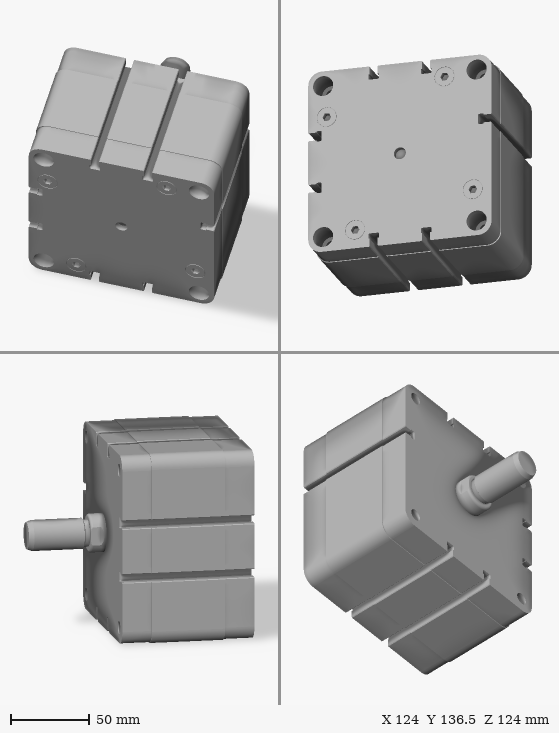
import cadquery as cq
import math

BARREL_SIDE = 124.0
CAP_SIDE = 123.0
CORNER_RADIUS = 9.0
BODY_LENGTH = 86.5
CAP_LENGTH = 19.25
BARREL_LENGTH = BODY_LENGTH - 2 * CAP_LENGTH

SLOT_OFFSET = 17.6
SLOT_NECK_WIDTH = 5.3
SLOT_HEAD_WIDTH = 7.0
SLOT_FLOOR = 52.5
SLOT_LIP = 56.0
SLOT_MOUTH_CHAMFER = 0.5
SLOT_FLOOR_CHAMFER = 0.5

MOUNT_HOLE_OFFSET = 51.5
MOUNT_HOLE_DIAMETER = 8.38
MOUNT_BORE_DIAMETER = 13.5
MOUNT_BORE_DEPTH = CAP_LENGTH

SCREW_OFFSET_LONG = 49.0
SCREW_OFFSET_SHORT = 30.0
SCREW_POCKET_DIAMETER = 13.5
SCREW_HEAD_DIAMETER = 12.5
SCREW_GAP_DEPTH = 0.4
HEX_ACROSS_FLATS = 5.0
HEX_DEPTH = 4.0

CENTRE_HOLE_DIAMETER = 8.0
CENTRE_HOLE_DEPTH = 4.0

ROD_LENGTH = 50.0
COLLAR_DIAMETER = 25.0
COLLAR_LENGTH = 10.0
COLLAR_FILLET = 1.75
UNDERCUT_DIAMETER = 17.5
UNDERCUT_LENGTH = 3.0
UNDERCUT_TAPER_LENGTH = 0.7
THREAD_DIAMETER = 20.0
TIP_DIAMETER = 17.5
TIP_LENGTH = 3.3
FLATS_WIDTH = 22.0
FLATS_LENGTH = 6.7
FLATS_RUNOUT_LENGTH = 1.8


def front_plane(y):
    """Plane facing -Y at the given Y, with local x along X and local y along Z."""
    return cq.Workplane("XZ", origin=(0, y, 0))


def body_section(side, start, length):
    """Rounded square block running along +Y."""
    block = front_plane(start).rect(side, side).extrude(-length)
    return block.edges("|Y").fillet(CORNER_RADIUS)


def slot_cutter(side, start, length):
    """T-slot opening through the +Z side of a block, centred on X = 0."""
    neck = SLOT_NECK_WIDTH / 2
    head = SLOT_HEAD_WIDTH / 2
    mouth = side / 2
    right_half = [
        (head - SLOT_FLOOR_CHAMFER, SLOT_FLOOR),
        (head, SLOT_FLOOR + SLOT_FLOOR_CHAMFER),
        (head, SLOT_LIP),
        (neck, SLOT_LIP),
        (neck, mouth - SLOT_MOUTH_CHAMFER),
        (neck + SLOT_MOUTH_CHAMFER, mouth),
    ]
    left_half = [(-x, z) for x, z in reversed(right_half)]
    return front_plane(start).polyline(right_half + left_half).close().extrude(-length)


def slotted_section(side, start, length):
    """Block with two T-slots on every side but +X, which has only the upper one."""
    section = body_section(side, start, length)
    cutter = slot_cutter(side, start, length)
    lower_right = (90, SLOT_OFFSET)
    for turn in (0, 90, 180, 270):
        for offset in (-SLOT_OFFSET, SLOT_OFFSET):
            if (turn, offset) == lower_right:
                continue
            placed = cutter.translate((offset, 0, 0)).rotate((0, 0, 0), (0, 1, 0), turn)
            section = section.cut(placed)
    return section


def make_body():
    """Barrel between the blind cap and the rod cap."""
    blind_cap = slotted_section(CAP_SIDE, 0, CAP_LENGTH)
    barrel = slotted_section(BARREL_SIDE, CAP_LENGTH, BARREL_LENGTH)
    rod_cap = slotted_section(CAP_SIDE, CAP_LENGTH + BARREL_LENGTH, CAP_LENGTH)
    return blind_cap.union(barrel).union(rod_cap)


def cut_mount_holes(body):
    """Through hole with a counterbore from the blind cap in each corner."""
    spacing = 2 * MOUNT_HOLE_OFFSET
    holes = front_plane(0).rect(spacing, spacing, forConstruction=True).vertices()
    through = holes.circle(MOUNT_HOLE_DIAMETER / 2).extrude(-BODY_LENGTH)
    bores = holes.circle(MOUNT_BORE_DIAMETER / 2).extrude(-MOUNT_BORE_DEPTH)
    return body.cut(through).cut(bores)


def add_cap_screws(body):
    """Each screw leaves a thin ring gap round its head and a hexagon socket."""
    positions = [
        (SCREW_OFFSET_SHORT, SCREW_OFFSET_LONG),
        (-SCREW_OFFSET_LONG, SCREW_OFFSET_SHORT),
        (-SCREW_OFFSET_SHORT, -SCREW_OFFSET_LONG),
        (SCREW_OFFSET_LONG, -SCREW_OFFSET_SHORT),
    ]
    hex_across_corners = HEX_ACROSS_FLATS / math.cos(math.radians(30))
    face = front_plane(0).pushPoints(positions)
    pockets = face.circle(SCREW_POCKET_DIAMETER / 2).extrude(-SCREW_GAP_DEPTH)
    heads = face.circle(SCREW_HEAD_DIAMETER / 2).extrude(-SCREW_GAP_DEPTH)
    sockets = face.polygon(6, hex_across_corners).extrude(-HEX_DEPTH)
    return body.cut(pockets.cut(heads)).cut(sockets)


def cut_centre_hole(body):
    """Flat-bottomed hole on the axis of the blind cap."""
    hole = front_plane(0).circle(CENTRE_HOLE_DIAMETER / 2).extrude(-CENTRE_HOLE_DEPTH)
    return body.cut(hole)


def make_rod():
    """Turned rod with a threaded end and two wrench flats facing -X and +X."""
    base = BODY_LENGTH
    collar_end = base + COLLAR_LENGTH
    thread_start = collar_end + UNDERCUT_LENGTH
    tip = base + ROD_LENGTH
    collar_radius = COLLAR_DIAMETER / 2
    fillet_start = collar_end - COLLAR_FILLET
    fillet_end_radius = collar_radius - COLLAR_FILLET
    fillet_reach = COLLAR_FILLET * math.sin(math.radians(45))
    fillet_middle = (fillet_end_radius + fillet_reach, fillet_start + fillet_reach)
    profile = (
        cq.Workplane("XY")
        .moveTo(0, base)
        .lineTo(collar_radius, base)
        .lineTo(collar_radius, fillet_start)
        .threePointArc(fillet_middle, (fillet_end_radius, collar_end))
        .lineTo(UNDERCUT_DIAMETER / 2, collar_end)
        .lineTo(UNDERCUT_DIAMETER / 2, thread_start)
        .lineTo(THREAD_DIAMETER / 2, thread_start + UNDERCUT_TAPER_LENGTH)
        .lineTo(THREAD_DIAMETER / 2, tip - TIP_LENGTH)
        .lineTo(TIP_DIAMETER / 2, tip)
        .lineTo(0, tip)
        .close()
    )
    rod = profile.revolve(360, (0, 0, 0), (0, 1, 0))

    flat = FLATS_WIDTH / 2
    flat_start = collar_end - FLATS_LENGTH
    flat_profile = [
        (flat, collar_end),
        (flat, flat_start),
        (collar_radius, flat_start - FLATS_RUNOUT_LENGTH),
        (collar_radius, collar_end),
    ]
    cutter = cq.Workplane("XY").polyline(flat_profile).close().extrude(collar_radius, both=True)
    return rod.cut(cutter).cut(cutter.mirror("YZ"))


body = make_body()
body = cut_mount_holes(body)
body = add_cap_screws(body)
body = cut_centre_hole(body)
result = body.union(make_rod())